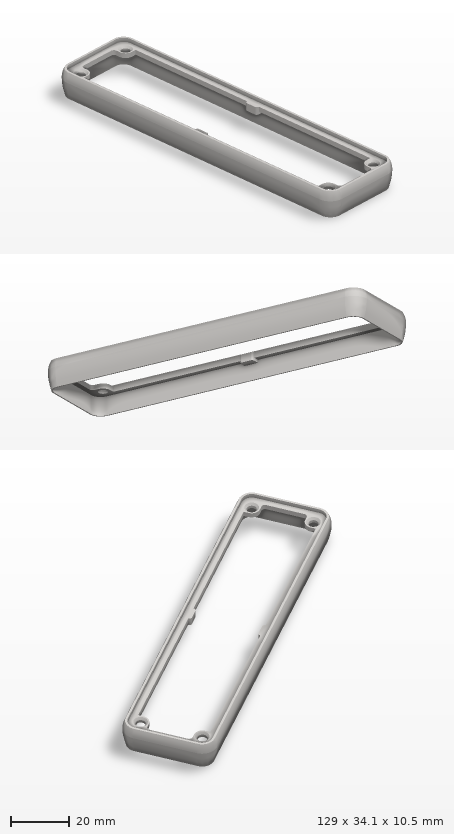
import cadquery as cq

length = 129.0
width = 34.13
height = 10.5
corner_radius = 5.5

crown_height = 7.0
top_inset = 0.95
bottom_inset = 1.2

cavity_inset = 1.75
recess_depth = 1.6
flange_thickness = 1.9
flange_top = height - recess_depth
flange_bottom = flange_top - flange_thickness

opening_inset = 4.0
opening_length = length - 2 * opening_inset
opening_width = width - 2 * opening_inset

boss_x = 57.75
boss_y = 11.2
boss_radius = 3.0
boss_root_fillet = 1.3
hole_diameter = 3.5
countersink_diameter = 5.0
countersink_depth = 0.8

tab_root_length = 5.5
tab_tip_length = 4.9
tab_projection = 1.0
tab_height = 3.0
tab_tip_fillet = 0.7

core_x = length / 2 - corner_radius
core_y = width / 2 - corner_radius


def arc_inset(end_inset, rise, distance):
    """Inset at a distance from the crown of an arc that is vertical at the crown."""
    radius = (end_inset**2 + rise**2) / (2 * end_inset)
    return radius - (radius**2 - distance**2) ** 0.5


def wall_section(plane, reach):
    """Section from a vertical line at the origin out to the bulged wall at the given reach."""
    upper_half = (height - crown_height) / 2
    lower_half = crown_height / 2
    upper_middle = arc_inset(top_inset, height - crown_height, upper_half)
    lower_middle = arc_inset(bottom_inset, crown_height, lower_half)
    return (
        cq.Workplane(plane)
        .lineTo(reach - bottom_inset, 0)
        .threePointArc((reach - lower_middle, lower_half), (reach, crown_height))
        .threePointArc((reach - upper_middle, crown_height + upper_half), (reach - top_inset, height))
        .lineTo(0, height)
        .close()
    )


def outer_body():
    """Solid block with bulged sides and corners turned to the same bulge."""
    end_half = wall_section("XZ", length / 2).extrude(core_y, both=True)
    side_half = wall_section("YZ", width / 2).extrude(core_x, both=True)
    body = end_half.union(end_half.mirror("YZ")).union(side_half).union(side_half.mirror("XZ"))
    corner = wall_section("XZ", corner_radius).revolve(360, (0, 0), (0, 1))
    for x in (-core_x, core_x):
        for y in (-core_y, core_y):
            body = body.union(corner.translate((x, y, 0)))
    return body


def cavity(bottom, top):
    """Rounded block that hollows the frame between two heights."""
    block = (
        cq.Workplane("XY", origin=(0, 0, bottom))
        .rect(length - 2 * cavity_inset, width - 2 * cavity_inset)
        .extrude(top - bottom)
    )
    return block.edges("|Z").fillet(corner_radius - cavity_inset)


def boss_pad():
    """Flange material around the screw hole of the +X +Y corner, filleted into the end side."""
    edge_x = opening_length / 2
    edge_y = opening_width / 2
    pad_bottom = boss_y - boss_radius
    return (
        cq.Workplane("XY", origin=(0, 0, flange_bottom))
        .moveTo(boss_x - boss_radius, edge_y)
        .lineTo(boss_x - boss_radius, boss_y)
        .radiusArc((boss_x, pad_bottom), -boss_radius)
        .lineTo(edge_x - boss_root_fillet, pad_bottom)
        .radiusArc((edge_x, pad_bottom - boss_root_fillet), boss_root_fillet)
        .lineTo(edge_x, edge_y)
        .close()
        .extrude(flange_thickness)
    )


def opening():
    """Opening through the flange, leaving the four boss pads standing."""
    cut = cq.Workplane("XY", origin=(0, 0, flange_bottom)).rect(opening_length, opening_width)
    cut = cut.extrude(flange_thickness)
    pad = boss_pad()
    pad_pair = pad.union(pad.mirror("YZ"))
    return cut.cut(pad_pair).cut(pad_pair.mirror("XZ"))


def tab():
    """Locating tab on the +Y side, tapering to a rounded tip."""
    root_y = opening_width / 2
    tip_y = root_y - tab_projection
    block = (
        cq.Workplane("XY", origin=(0, 0, flange_top - tab_height))
        .moveTo(-tab_root_length / 2, root_y)
        .lineTo(-tab_tip_length / 2, tip_y)
        .lineTo(tab_tip_length / 2, tip_y)
        .lineTo(tab_root_length / 2, root_y)
        .lineTo(tab_root_length / 2, width / 2 - cavity_inset)
        .lineTo(-tab_root_length / 2, width / 2 - cavity_inset)
        .close()
        .extrude(tab_height)
    )
    return block.edges("|Z").edges("<Y").fillet(tab_tip_fillet)


def screw_hole():
    """Cutter for one countersunk screw hole, centred on the Z axis."""
    hole_radius = hole_diameter / 2
    mouth_radius = countersink_diameter / 2
    return (
        cq.Workplane("XZ")
        .moveTo(0, flange_bottom)
        .lineTo(hole_radius, flange_bottom)
        .lineTo(hole_radius, flange_top - countersink_depth)
        .lineTo(mouth_radius, flange_top)
        .lineTo(0, flange_top)
        .close()
        .revolve(360, (0, 0), (0, 1))
    )


frame = outer_body().cut(cavity(flange_top, height)).cut(cavity(0, flange_bottom)).cut(opening())
locating_tab = tab()
frame = frame.union(locating_tab).union(locating_tab.mirror("XZ"))
for x in (-boss_x, boss_x):
    for y in (-boss_y, boss_y):
        frame = frame.cut(screw_hole().translate((x, y, 0)))
result = frame